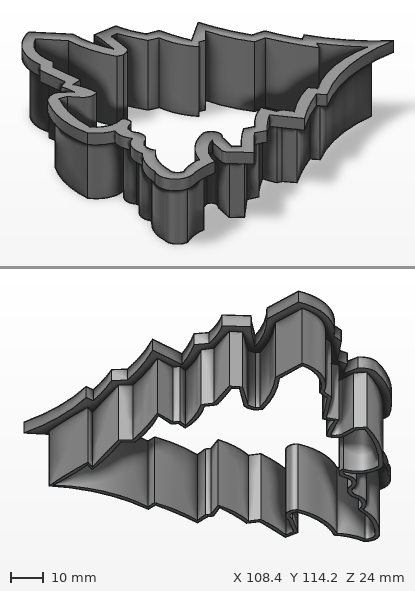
import cadquery as cq

height = 24.0
rim_height = 4.0
blade_thickness = 1.4


RIM_RIGHT = [
    ((11.4, 37.6), (25.6, 22.2)),
    ((23.5, 19.5),),
    ((30.2, 13.3), (36.3, 8.6)),
    ((29.0, 0.3),),
    ((33.0, -2.5), (37.9, -5.3)),
    ((37.5, -9.5),),
    ((48.9, -15.8),),
    ((44.9, -22.5),),
]

RIM_RIGHT_FOOT = [
    ((44.0, -23.5), (42.2, -23.8)),
    ((37.4, -23.8),),
    ((35.6, -23.1),),
    ((40.8, -27.2), (48.5, -29.0)),
    ((50.4, -34.5), (53.4, -39.6)),
    ((53.2, -45.4), (45.8, -48.4)),
    ((39.6, -48.3), (33.5, -46.2)),
    ((28.2, -47.0), (23.1, -44.1)),
    ((20.1, -46.2), (16.2, -46.4)),
]

RIM_TRUNK = [
    ((15.8, -49.9), (13.4, -54.5)),
    ((0.7, -57.1), (-11.5, -55.0)),
    ((-13.8, -52.8), (-14.7, -49.9)),
    ((-12.5, -45.1),),
]

RIM_LEFT_FOOT = [
    ((-15.1, -45.9), (-17.5, -47.1)),
    ((-19.9, -44.4),),
    ((-30.4, -47.5),),
    ((-33.6, -45.8),),
    ((-45.4, -45.6), (-54.4, -38.5)),
    ((-46.7, -27.3),),
    ((-38.7, -24.9), (-32.1, -21.0)),
    ((-40.2, -21.4),),
    ((-43.3, -21.8),),
]

RIM_LEFT = [
    ((-45.4, -13.1),),
    ((-40.4, -10.6), (-36.3, -7.4)),
    ((-36.4, -2.9),),
    ((-30.7, -0.1), (-26.0, 2.7)),
    ((-35.6, 10.2),),
    ((-27.3, 15.2), (-20.5, 20.7)),
    ((-21.0, 25.5),),
    ((-15.3, 29.4), (-10.9, 33.0)),
    ((-13.0, 34.8),),
    ((-3.4, 45.2), (3.3, 57.1)),
]

OPENING_RIGHT = [
    ((10.2, 32.3), (20.5, 21.6)),
    ((18.5, 19.2),),
    ((24.5, 12.8), (30.6, 8.1)),
    ((27.9, 5.1),),
    ((27.9, 3.4),),
    ((23.4, 0.3),),
    ((28.7, -4.5), (33.7, -7.2)),
    ((33.5, -11.1),),
    ((37.9, -14.2), (43.4, -17.1)),
    ((42.0, -19.8),),
]

OPENING_RIGHT_FOOT = [
    ((35.3, -19.4),),
    ((30.8, -20.0), (30.2, -23.3)),
    ((36.8, -29.7), (45.2, -32.7)),
    ((47.4, -37.6), (49.9, -40.5)),
    ((49.4, -43.1), (46.7, -44.1)),
    ((39.8, -44.1), (33.4, -41.5)),
    ((29.6, -43.1), (26.5, -41.7)),
    ((23.1, -40.0), (20.5, -40.8)),
    ((17.9, -42.2), (14.7, -40.5)),
    ((12.5, -39.2), (10.0, -40.9)),
]

OPENING_TRUNK = [
    ((12.1, -45.7), (10.2, -51.9)),
    ((-0.5, -52.9), (-10.9, -51.3)),
    ((-10.9, -48.4),),
    ((-8.1, -44.5),),
    ((-7.7, -41.9), (-9.1, -39.2)),
]

OPENING_LEFT_FOOT = [
    ((-13.5, -40.8), (-17.1, -43.1)),
    ((-18.7, -39.6),),
    ((-30.2, -43.1),),
    ((-33.6, -41.4),),
    ((-41.6, -42.6), (-49.4, -38.8)),
    ((-43.5, -30.6),),
    ((-34.7, -27.4), (-27.3, -22.5)),
    ((-27.3, -20.2),),
    ((-28.3, -18.6), (-30.2, -17.3)),
    ((-40.0, -17.6),),
]

OPENING_LEFT = [
    ((-40.7, -15.3),),
    ((-36.2, -12.2), (-32.2, -9.1)),
    ((-32.1, -5.3),),
    ((-26.2, -2.3), (-21.1, 2.6)),
    ((-24.0, 4.2),),
    ((-24.0, 6.4),),
    ((-29.5, 9.5),),
    ((-22.2, 13.8), (-16.0, 19.2)),
    ((-16.8, 23.4),),
    ((-9.3, 29.1), (-3.2, 34.7)),
    ((-6.2, 35.6),),
    ((-1.1, 41.6), (3.3, 48.0)),
]


def tree_wire(*stretches):
    """Closed flat outline that ends and starts at the last point of the last stretch."""
    tree_top = stretches[-1][-1][-1]
    outline = cq.Workplane("XY").moveTo(*tree_top)
    for stretch in stretches:
        for step in stretch:
            if len(step) == 1:
                outline = outline.lineTo(*step[0])
            else:
                outline = outline.threePointArc(*step)
    return outline.close()


def rim_outline():
    return tree_wire(RIM_RIGHT, RIM_RIGHT_FOOT, RIM_TRUNK, RIM_LEFT_FOOT, RIM_LEFT)


def opening_outline():
    return tree_wire(
        OPENING_RIGHT, OPENING_RIGHT_FOOT, OPENING_TRUNK, OPENING_LEFT_FOOT, OPENING_LEFT
    )


def leftward(direction):
    """Unit vector to the left of a direction; on a clockwise outline this points outward."""
    return cq.Vector(-direction.y, direction.x).normalized()


def blade_outline():
    """Opening outline with every corner and arc middle pushed outward by the blade thickness."""
    edges = list(opening_outline().val())
    corners = []
    for before, after in zip([edges[-1]] + edges[:-1], edges):
        outward = (leftward(before.tangentAt(1)) + leftward(after.tangentAt(0))).normalized()
        corners.append(after.startPoint() + outward * blade_thickness)
    outline = cq.Workplane("XY").moveTo(*corners[0].toTuple()[:2])
    for edge, corner in zip(edges, corners[1:] + corners[:1]):
        if edge.geomType() == "LINE":
            outline = outline.lineTo(corner.x, corner.y)
        else:
            middle = edge.positionAt(0.5) + leftward(edge.tangentAt(0.5)) * blade_thickness
            outline = outline.threePointArc((middle.x, middle.y), (corner.x, corner.y))
    return outline.close()


blade = blade_outline().extrude(height)
rim = rim_outline().extrude(rim_height).translate((0, 0, height - rim_height))
opening = opening_outline().extrude(height)

result = blade.union(rim).cut(opening)